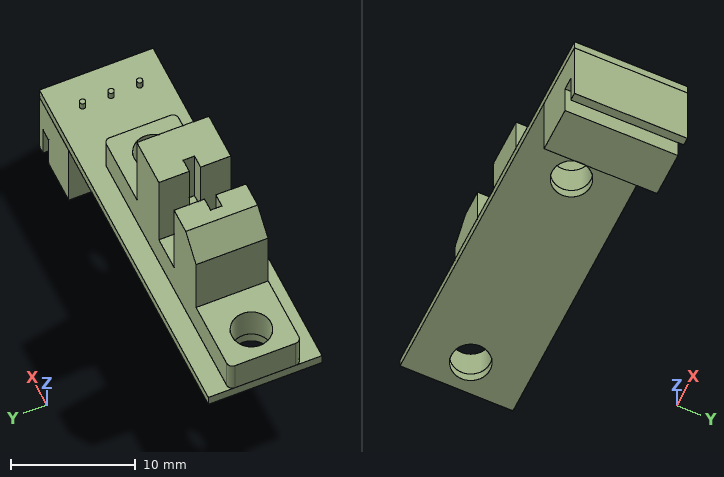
import cadquery as cq

board_length = 33.0
board_width = 10.0
board_thickness = 1.0

sensor_length = 24.45
sensor_width = 6.35
base_height = 3.07
corner_radius = 0.5
tower_height = 8.0
tower_length = 4.3
left_tower_x = 6.47
tower_gap = 2.97
tower_chamfer = 2.0
window_width = 1.0
window_depth = 1.2
window_height = 5.5

hole_diameter = 3.4
hole_spacing = 19.05
first_hole_x = 2.7

connector_length = 5.75
connector_height = 6.95
notch_width = 1.1
notch_height = 3.3
notch_wall = 0.7
pin_diameter = 0.5
pin_projection = 0.7
pin_pitch = 2.5
pin_x = 30.1

right_tower_x = left_tower_x + tower_length + tower_gap
sensor_top = base_height + tower_height
connector_x = board_length - connector_length
hole_centers = [(first_hole_x, 0), (first_hole_x + hole_spacing, 0)]
pin_centers = [(pin_x, row * pin_pitch) for row in (-1, 0, 1)]


def block(x, z, length, width, height):
    """Box centred on Y, starting at the given X and bottom Z."""
    return (
        cq.Workplane("XY")
        .box(length, width, height, centered=(False, True, False))
        .translate((x, 0, z))
    )


def cylinders(centers, diameter, bottom, top):
    """Upright cylinders at the given XY centres."""
    return (
        cq.Workplane("XY")
        .workplane(offset=bottom)
        .pushPoints(centers)
        .circle(diameter / 2)
        .extrude(top - bottom)
    )


def make_board():
    board = block(0, -board_thickness, board_length, board_width, board_thickness)
    board = board.cut(cylinders(hole_centers, hole_diameter, -board_thickness, 0))
    return board.cut(cylinders(pin_centers, pin_diameter, -board_thickness, 0))


def make_sensor():
    base = block(0, 0, sensor_length, sensor_width, base_height)
    base = base.edges("|Z").fillet(corner_radius)
    base = base.cut(cylinders(hole_centers, hole_diameter, 0, base_height))

    left_tower = block(left_tower_x, base_height, tower_length, sensor_width, tower_height)
    left_tower = left_tower.edges("<X and >Z").chamfer(tower_chamfer)
    right_tower = block(right_tower_x, base_height, tower_length, sensor_width, tower_height)

    windows = block(
        left_tower_x + tower_length - window_depth,
        sensor_top - window_height,
        tower_gap + 2 * window_depth,
        window_width,
        window_height,
    )
    return base.union(left_tower).union(right_tower).cut(windows)


def make_connector():
    bottom = -board_thickness - connector_height
    body = block(connector_x, bottom, connector_length, board_width, connector_height)
    notch_x = board_length - notch_wall - notch_width
    body = body.cut(block(notch_x, bottom, notch_width, board_width, notch_height))
    return body.union(cylinders(pin_centers, pin_diameter, -board_thickness, pin_projection))


board = make_board()
sensor = make_sensor()
connector = make_connector()
result = cq.Compound.makeCompound([board.val(), sensor.val(), connector.val()])